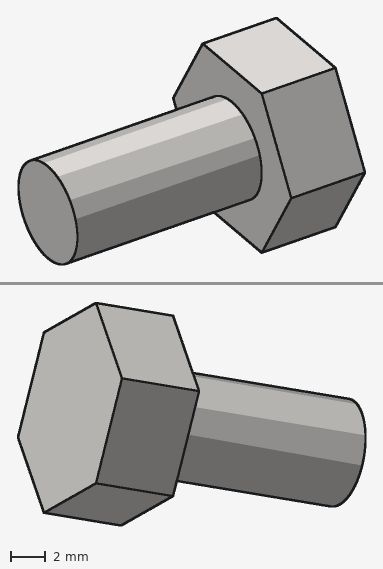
import cadquery as cq

total_length = 17.78
head_height = 5.09
head_across_corners = 12.7
shank_diameter = head_across_corners / 2
shank_length = total_length - head_height

shank = cq.Workplane("XZ").circle(shank_diameter / 2).extrude(-shank_length)

head = (
    cq.Workplane("XZ", origin=(0, shank_length, 0))
    .polygon(6, head_across_corners)
    .extrude(-head_height)
)

result = shank.union(head)